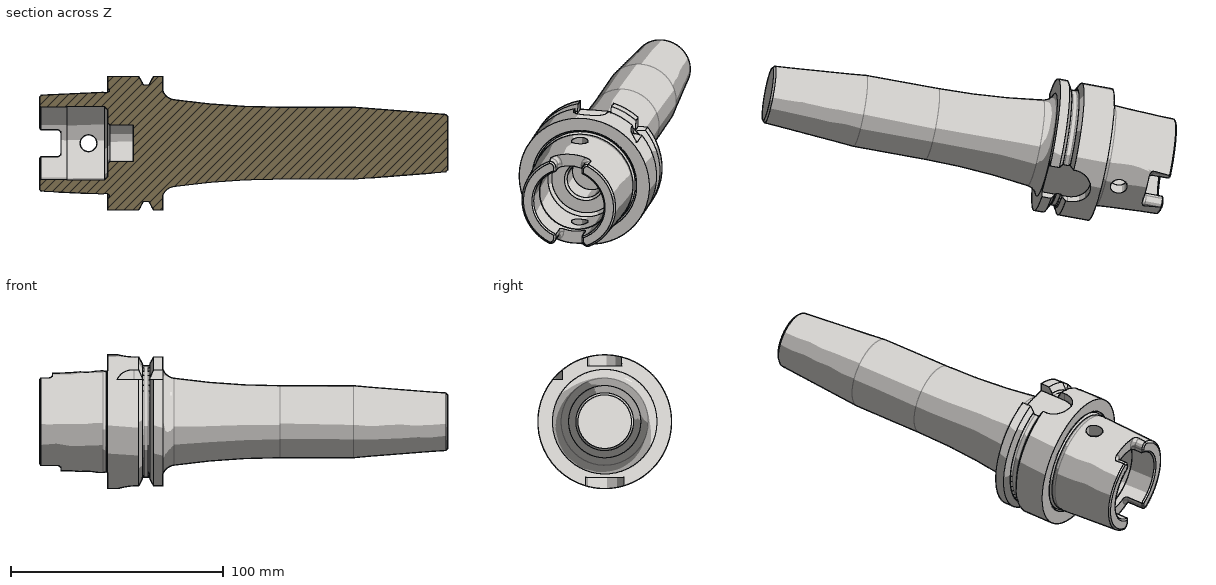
import cadquery as cq
import math


shank_length = 32.0
shank_back_radius = 24.0
shank_end_radius = 22.65
shank_taper_end_x = -2.3
end_chamfer_length = 0.6
end_chamfer_inset = 0.9

relief_start_x = -1.0
relief_depth_x = 0.8
relief_inner_radius = 23.75
relief_slope_start_x = -0.5
relief_slope_end_radius = 24.5
relief_outer_radius = 25.3

flange_radius = 31.5
flange_width = 26.0
groove_center_x = 18.1
groove_top_width = 7.0
groove_floor_radius = 27.5
groove_wall_height = 1.0
groove_flank_angle = math.radians(30)
groove_corner_radius = 0.8

neck_root_radius = 24.6
neck_start_x = 31.2
neck_start_radius = 20.5
barrel_start_x = 81.0
barrel_end_x = 115.7
barrel_radius = 17.0
nose_end_x = 160.0
nose_angle = math.radians(4.5)
nose_chamfer = 1.0

mouth_radius = 17.0
mouth_chamfer = 0.7
mouth_depth = 13.0
cavity_radius = 17.2
cavity_floor_x = 0.0
cavity_floor_radius = 15.7
coolant_bore_radius = 8.5
coolant_bore_chamfer = 1.1
coolant_bore_depth = 12.0

notch_width = 12.54
notch_bottom_z = 10.0
notch_flat_z = 20.65
notch_shoulder_radius = 3.0
notch_floor_radius = 1.6
upper_notch_depth = 6.0
lower_notch_depth = 10.0

cross_hole_x = -9.0
cross_hole_radius = 3.9

keyway_start_x = 4.8
keyway_floor_z = 26.2
upper_keyway_width = 16.0
lower_keyway_width = 18.0
orientation_corner = 19.9
orientation_start_x = 12.3
orientation_tool_radius = 9.0

cut_margin = 5.0


def outer_body():
    """Revolve the full outer profile, without bores or cuts."""
    groove_wall_radius = groove_floor_radius + groove_wall_height
    flank_depth = flange_radius - groove_wall_radius
    top_half = groove_top_width / 2
    floor_half = top_half - flank_depth * math.tan(groove_flank_angle)

    neck_run = barrel_start_x - neck_start_x
    neck_rise = neck_start_radius - barrel_radius
    neck_arc_radius = (neck_run**2 + neck_rise**2) / (2 * neck_rise)
    neck_mid_rise = neck_arc_radius - math.sqrt(neck_arc_radius**2 - (neck_run / 2) ** 2)
    neck_middle = (barrel_start_x - neck_run / 2, barrel_radius + neck_mid_rise)

    chamfer_start_x = nose_end_x - nose_chamfer
    nose_radius = barrel_radius - (chamfer_start_x - barrel_end_x) * math.tan(nose_angle)

    profile = (
        cq.Workplane("XY")
        .moveTo(nose_end_x, 0)
        .lineTo(nose_end_x, nose_radius - nose_chamfer)
        .lineTo(chamfer_start_x, nose_radius)
        .lineTo(barrel_end_x, barrel_radius)
        .lineTo(barrel_start_x, barrel_radius)
        .threePointArc(neck_middle, (neck_start_x, neck_start_radius))
        .tangentArcPoint((flange_width, neck_root_radius), relative=False)
        .lineTo(flange_width, flange_radius)
        .lineTo(groove_center_x + top_half, flange_radius)
        .lineTo(groove_center_x + floor_half, groove_wall_radius)
        .lineTo(groove_center_x + floor_half, groove_floor_radius)
        .lineTo(groove_center_x - floor_half, groove_floor_radius)
        .lineTo(groove_center_x - floor_half, groove_wall_radius)
        .lineTo(groove_center_x - top_half, flange_radius)
        .lineTo(0, flange_radius)
        .lineTo(0, relief_outer_radius)
        .lineTo(relief_depth_x, relief_outer_radius)
        .lineTo(relief_depth_x, relief_slope_end_radius)
        .lineTo(relief_slope_start_x, relief_inner_radius)
        .lineTo(relief_start_x, relief_inner_radius)
        .lineTo(shank_taper_end_x, shank_back_radius)
        .lineTo(end_chamfer_length - shank_length, shank_end_radius)
        .lineTo(-shank_length, shank_end_radius - end_chamfer_inset)
        .lineTo(-shank_length, 0)
        .close()
    )
    body = profile.revolve(360, (0, 0, 0), (1, 0, 0))
    floor_corners = cq.selectors.RadiusNthSelector(0)
    groove_span = cq.selectors.BoxSelector(
        (groove_center_x - top_half, -1, -1),
        (groove_center_x + top_half, 1, 1),
    )
    return body.edges("%CIRCLE").edges(groove_span).edges(floor_corners).fillet(groove_corner_radius)


def clamping_cavity():
    """Cavity open at the shank end, slightly relieved behind its mouth, with the coolant bore."""
    cavity_start_x = mouth_depth - shank_length
    floor_chamfer = cavity_radius - cavity_floor_radius
    bore_mouth_radius = coolant_bore_radius + coolant_bore_chamfer
    profile = (
        cq.Workplane("XY")
        .moveTo(-shank_length, 0)
        .lineTo(-shank_length, mouth_radius + mouth_chamfer)
        .lineTo(mouth_chamfer - shank_length, mouth_radius)
        .lineTo(cavity_start_x, mouth_radius)
        .lineTo(cavity_start_x, cavity_radius)
        .lineTo(cavity_floor_x - floor_chamfer, cavity_radius)
        .lineTo(cavity_floor_x, cavity_floor_radius)
        .lineTo(cavity_floor_x, bore_mouth_radius)
        .lineTo(cavity_floor_x + coolant_bore_chamfer, coolant_bore_radius)
        .lineTo(cavity_floor_x + coolant_bore_depth, coolant_bore_radius)
        .lineTo(cavity_floor_x + coolant_bore_depth, 0)
        .close()
    )
    return profile.revolve(360, (0, 0, 0), (1, 0, 0))


def notch_outline(start_x):
    """Outline of the +Z drive notch: a slot that flares over rounded shoulders to a flat."""
    half = notch_width / 2
    shoulder = notch_shoulder_radius
    turn = shoulder * math.sqrt(0.5)
    flat_half = shank_back_radius
    top_z = shank_back_radius + cut_margin
    arc_z = notch_flat_z - shoulder
    arc_y = half + shoulder
    return (
        cq.Workplane("YZ", origin=(start_x, 0, 0))
        .moveTo(-half, notch_bottom_z)
        .lineTo(half, notch_bottom_z)
        .lineTo(half, arc_z)
        .threePointArc((arc_y - turn, arc_z + turn), (arc_y, notch_flat_z))
        .lineTo(flat_half, notch_flat_z)
        .lineTo(flat_half, top_z)
        .lineTo(-flat_half, top_z)
        .lineTo(-flat_half, notch_flat_z)
        .lineTo(-arc_y, notch_flat_z)
        .threePointArc((turn - arc_y, arc_z + turn), (-half, arc_z))
        .close()
    )


def drive_notch(depth):
    """Cutter for the +Z drive notch, with a rounded floor and a chamfered mouth."""
    slot = notch_outline(-shank_length).extrude(depth)
    slot = slot.faces(">X").edges().fillet(notch_floor_radius)
    chamfer_angle = math.degrees(math.atan(end_chamfer_inset / end_chamfer_length))
    mouth = (
        notch_outline(-shank_length)
        .offset2D(end_chamfer_inset, "intersection")
        .extrude(end_chamfer_length, taper=chamfer_angle)
    )
    return slot.union(mouth)


def keyway(width):
    """Cutter for the +Z flange keyway: round at its start, open at the flange back."""
    radius = width / 2
    center_x = keyway_start_x + radius
    return (
        cq.Workplane("XY", origin=(0, 0, keyway_floor_z))
        .moveTo(center_x, radius)
        .threePointArc((keyway_start_x, 0), (center_x, -radius))
        .lineTo(flange_width, -radius)
        .lineTo(flange_width, radius)
        .close()
        .extrude(flange_radius)
    )


def orientation_notch():
    """Cutter for the right-angled corner notch on the -Y, +Z side of the flange."""
    radius = orientation_tool_radius
    turn = radius * math.sqrt(0.5)
    arc_y = -orientation_corner - radius
    outer_y = -flange_radius - cut_margin
    return (
        cq.Workplane("XY", origin=(0, 0, orientation_corner))
        .moveTo(flange_width, -orientation_corner)
        .lineTo(orientation_start_x, -orientation_corner)
        .threePointArc(
            (orientation_start_x - turn, arc_y + turn),
            (orientation_start_x - radius, arc_y),
        )
        .lineTo(orientation_start_x - radius, outer_y)
        .lineTo(flange_width, outer_y)
        .close()
        .extrude(flange_radius)
    )


def turned_half(shape):
    """Turn a shape half way round the X axis."""
    return shape.rotate((0, 0, 0), (1, 0, 0), 180)


def cross_hole():
    """Cutter for the radial hole through both shank walls."""
    reach = shank_back_radius + cut_margin
    return (
        cq.Workplane("XY", origin=(cross_hole_x, 0, -reach))
        .circle(cross_hole_radius)
        .extrude(2 * reach)
    )


body = outer_body()
body = body.cut(drive_notch(upper_notch_depth))
body = body.cut(turned_half(drive_notch(lower_notch_depth)))
body = body.cut(clamping_cavity())
body = body.cut(cross_hole())
body = body.cut(keyway(upper_keyway_width))
body = body.cut(turned_half(keyway(lower_keyway_width)))
body = body.cut(orientation_notch())

result = body